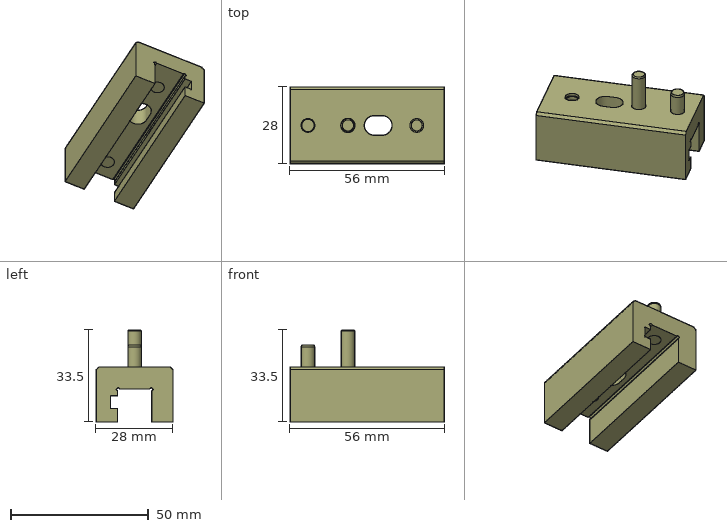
import cadquery as cq

length = 56.0
width = 28.0
height = 20.0
top_chamfer = 1.0

channel_width = 12.3
channel_height = 12.0
roof_thickness = height - channel_height

groove_depth = 2.55
groove_bottom = 5.0
groove_height = 4.5

relief_width = 1.0
relief_depth = 0.25

slot_length = 10.0
slot_width = 7.0
slot_x = 32.0

pin_diameter = 5.0

short_pin_x = 6.5
short_pin_top = height + 8.0
short_pin_bottom = channel_height
short_lead_height = 0.75
short_lead_inset = 0.25

long_pin_x = 21.0
long_pin_length = 20.0
long_pin_top = height + 13.5
long_pin_bottom = long_pin_top - long_pin_length
long_tip_chamfer = 0.45
long_hole_diameter = 5.2

insert_x = 46.0
insert_diameter = 5.0
insert_top = height - 1.0
insert_bottom = channel_height
cup_diameter = 4.0
cup_depth = 1.5


def upright_cylinder(x, diameter, bottom, top):
    """Vertical cylinder on the centre line of the housing."""
    return cq.Workplane("XY", origin=(x, 0, bottom)).circle(diameter / 2).extrude(top - bottom)


def make_channel_relief():
    """Bar tilted 45 degrees that cuts past the upper corner of the channel on the +Y side."""
    bar = cq.Workplane("XY", origin=(0, -relief_width, 0)).box(
        length, relief_width + relief_depth, relief_width, centered=(False, False, True)
    )
    bar = bar.rotate((0, 0, 0), (1, 0, 0), 45)
    return bar.translate((0, channel_width / 2, channel_height))


def make_housing():
    block = cq.Workplane("XY").box(length, width, height, centered=(False, True, False))
    block = block.edges("|X and >Z").chamfer(top_chamfer)

    channel = cq.Workplane("XY").box(length, channel_width, channel_height, centered=(False, True, False))
    groove = cq.Workplane("XY", origin=(0, 0, groove_bottom)).box(
        length, channel_width / 2 + groove_depth, groove_height, centered=False
    )
    relief = make_channel_relief()
    block = block.cut(channel).cut(groove).cut(relief).cut(relief.mirror("XZ"))

    slot = (
        cq.Workplane("XY", origin=(slot_x, 0, channel_height))
        .slot2D(slot_length, slot_width)
        .extrude(roof_thickness)
    )
    block = block.cut(slot)

    for x, diameter, bottom in (
        (short_pin_x, pin_diameter, short_pin_bottom),
        (long_pin_x, long_hole_diameter, long_pin_bottom),
        (insert_x, insert_diameter, insert_bottom),
    ):
        block = block.cut(upright_cylinder(x, diameter, bottom, height))
    return block


def make_short_pin():
    pin = upright_cylinder(short_pin_x, pin_diameter, short_pin_bottom, short_pin_top)
    return pin.faces(">Z").chamfer(short_lead_height, short_lead_inset)


def make_long_pin():
    pin = upright_cylinder(long_pin_x, pin_diameter, long_pin_bottom, long_pin_top)
    return pin.faces(">Z").chamfer(long_tip_chamfer)


def make_insert():
    body = upright_cylinder(insert_x, insert_diameter, insert_bottom, insert_top)
    return body.cut(upright_cylinder(insert_x, cup_diameter, insert_top - cup_depth, insert_top))


housing = make_housing()
short_pin = make_short_pin()
long_pin = make_long_pin()
insert = make_insert()

result = cq.Compound.makeCompound([housing.val(), short_pin.val(), long_pin.val(), insert.val()])